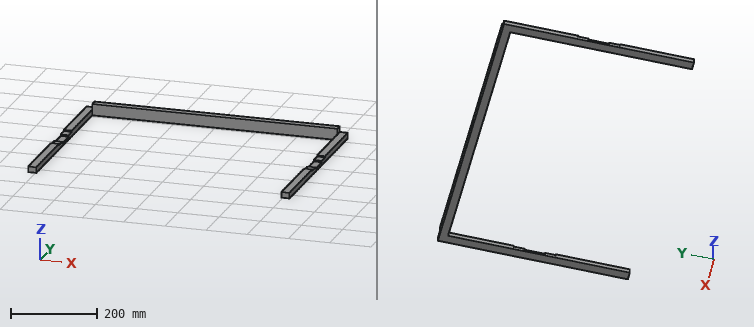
import cadquery as cq

frame_width = 634.0
arm_length = 453.0
frame_height = 28.0
bar_thickness = 19.5

arm_height = frame_height / 2
shoulder_span = 100.0
shoulder_depth = 3.0
notch_span = 49.5
notch_depth = 7.0


def make_arm(center_x):
    """Side arm on the base plane with a two-step notch cut from its top."""
    arm = cq.Workplane("XY").box(bar_thickness, arm_length, arm_height, centered=(True, True, False))
    for span, depth in ((shoulder_span, shoulder_depth), (notch_span, notch_depth)):
        step = (
            cq.Workplane("XY")
            .workplane(offset=arm_height - depth)
            .box(bar_thickness, span, depth, centered=(True, True, False))
        )
        arm = arm.cut(step)
    return arm.translate((center_x, 0, 0))


def make_crossbar():
    """Full-height bar joining the inner faces of the arms at their +Y ends."""
    crossbar_length = frame_width - 2 * bar_thickness
    center_y = (arm_length - bar_thickness) / 2
    crossbar = cq.Workplane("XY").box(
        crossbar_length, bar_thickness, frame_height, centered=(True, True, False)
    )
    return crossbar.translate((0, center_y, 0))


result = make_crossbar()
arm_center_x = (frame_width - bar_thickness) / 2
for side in (-1, 1):
    result = result.union(make_arm(side * arm_center_x))